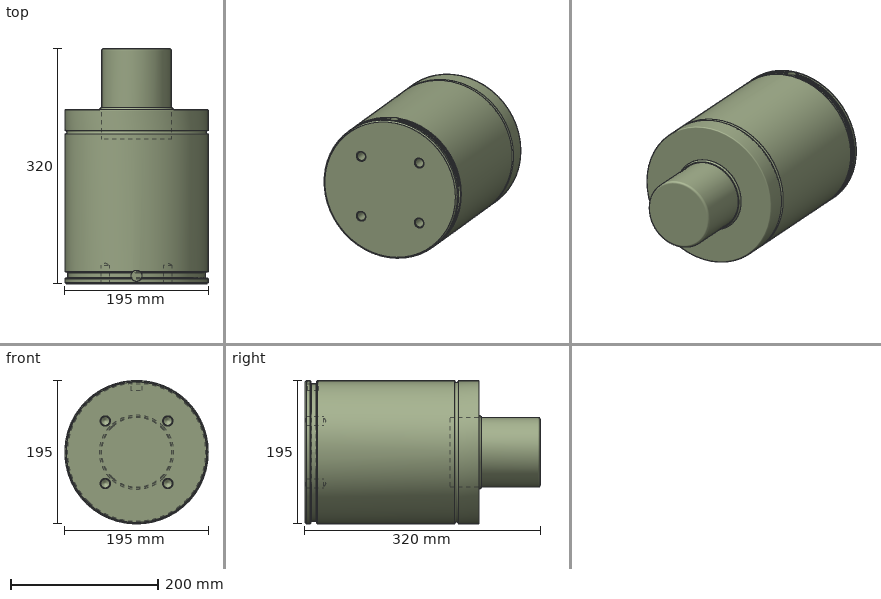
import cadquery as cq
import math


body_dia = 195.0
body_length = 237.0
base_chamfer = 2.0
top_fillet = 1.5

clamp_groove_start = 8.0
clamp_groove_width = 8.0
clamp_groove_depth = 3.6
clamp_groove_chamfer = 1.0
clamp_groove_fillet = 1.0

round_groove_radius = 2.5
round_groove_center = 206.2

mount_hole_dia = 12.0
mount_hole_mouth_dia = 14.0
mount_hole_depth = 25.0
mount_hole_spacing = 85.0
drill_tip_angle = 118.0

port_dia = 15.0
port_center = 11.0
port_floor_depth = 10.0
plug_recess = 1.0

rod_dia = 95.0
rod_end = 320.0
rod_socket_depth = 40.0
rod_fillet = 3.0
wiper_top = 240.0
wiper_base_dia = 101.0
wiper_top_dia = 97.0

body_radius = body_dia / 2
rod_radius = rod_dia / 2
socket_floor = body_length - rod_socket_depth
groove_floor_radius = body_radius - clamp_groove_depth
plug_top = groove_floor_radius - plug_recess


def revolve_about_y(profile):
    """Turn a closed profile in the XY plane around the Y axis."""
    return profile.close().revolve(360, (0, 0, 0), (0, 1, 0))


def make_blank():
    """Solid cylinder with a chamfered base and a rounded top edge."""
    profile = (
        cq.Workplane("XY")
        .lineTo(body_radius - base_chamfer, 0)
        .lineTo(body_radius, base_chamfer)
        .lineTo(body_radius, body_length - top_fillet)
        .radiusArc((body_radius - top_fillet, body_length), -top_fillet)
        .lineTo(0, body_length)
    )
    return revolve_about_y(profile)


def make_clamp_groove():
    """Ring that cuts the groove, with chamfered mouth and filleted floor corners."""
    start = clamp_groove_start
    end = start + clamp_groove_width
    chamfer = clamp_groove_chamfer
    fillet = clamp_groove_fillet
    profile = (
        cq.Workplane("XY")
        .moveTo(body_radius, start - chamfer)
        .lineTo(body_radius - chamfer, start)
        .lineTo(groove_floor_radius + fillet, start)
        .radiusArc((groove_floor_radius, start + fillet), fillet)
        .lineTo(groove_floor_radius, end - fillet)
        .radiusArc((groove_floor_radius + fillet, end), fillet)
        .lineTo(body_radius - chamfer, end)
        .lineTo(body_radius, end + chamfer)
    )
    return revolve_about_y(profile)


def make_round_groove():
    """Torus centred on the body surface."""
    section = cq.Workplane("XY").center(body_radius, round_groove_center).circle(round_groove_radius)
    return section.revolve(360, (-body_radius, 0, 0), (-body_radius, 1, 0))


def cut_mount_holes(body):
    """Square pattern of blind holes with a countersunk mouth and a drill-point bottom."""
    mouth = (mount_hole_mouth_dia - mount_hole_dia) / 2
    radius = mount_hole_dia / 2
    tip = radius / math.tan(math.radians(drill_tip_angle / 2))
    drill_profile = (
        cq.Workplane("XY")
        .lineTo(radius + mouth, 0)
        .lineTo(radius, mouth)
        .lineTo(radius, mount_hole_depth)
        .lineTo(0, mount_hole_depth + tip)
    )
    drill = revolve_about_y(drill_profile)
    offset = mount_hole_spacing / 2
    for x in (-offset, offset):
        for z in (-offset, offset):
            body = body.cut(drill.translate((x, 0, z)))
    return body


def make_port_cylinder(top):
    """Cylinder standing on the floor of the charging port, up to the given height."""
    floor = groove_floor_radius - port_floor_depth
    plane = cq.Workplane("XY", origin=(0, port_center, floor))
    return plane.circle(port_dia / 2).extrude(top - floor)


def make_body():
    body = make_blank().cut(make_clamp_groove()).cut(make_round_groove())
    body = cut_mount_holes(body)
    body = body.cut(make_port_cylinder(body_radius))
    socket = cq.Workplane("XZ", origin=(0, socket_floor, 0)).circle(rod_radius).extrude(-rod_socket_depth)
    return body.cut(socket)


def make_plug():
    return make_port_cylinder(plug_top)


def make_rod():
    """Plain rod seated in the body socket, with a rounded edge at its free end."""
    profile = (
        cq.Workplane("XY")
        .moveTo(0, socket_floor)
        .lineTo(rod_radius, socket_floor)
        .lineTo(rod_radius, rod_end - rod_fillet)
        .radiusArc((rod_radius - rod_fillet, rod_end), -rod_fillet)
        .lineTo(0, rod_end)
    )
    return revolve_about_y(profile)


def make_wiper():
    """Conical ring that rests on the body's end face and hugs the rod."""
    profile = (
        cq.Workplane("XY")
        .moveTo(rod_radius, body_length)
        .lineTo(wiper_base_dia / 2, body_length)
        .lineTo(wiper_top_dia / 2, wiper_top)
        .lineTo(rod_radius, wiper_top)
    )
    return revolve_about_y(profile)


body = make_body()
plug = make_plug()
rod = make_rod()
wiper = make_wiper()

result = cq.Compound.makeCompound([body.val(), plug.val(), rod.val(), wiper.val()])